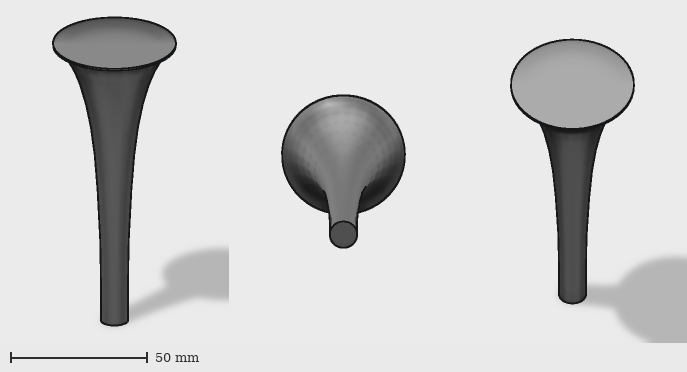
import cadquery as cq

total_height = 111.4
rim_radius = 45.0 / 2
stem_radius = 10.0 / 2
stem_length = 16.4
rim_thickness = 0.8

rim_bottom = total_height - rim_thickness

flare_points = [
    (5.1, 27.8),
    (5.7, 41.8),
    (6.9, 62.4),
    (9.5, 82.4),
    (12.4, 94.2),
    (16.2, 103.8),
    (18.9, 108.1),
    (rim_radius, rim_bottom),
]

half_section = (
    cq.Workplane("XZ")
    .lineTo(stem_radius, 0)
    .lineTo(stem_radius, stem_length)
    .spline(flare_points, includeCurrent=True)
    .lineTo(rim_radius, total_height)
    .lineTo(0, total_height)
    .close()
)

result = half_section.revolve(360, (0, 0, 0), (0, 1, 0))